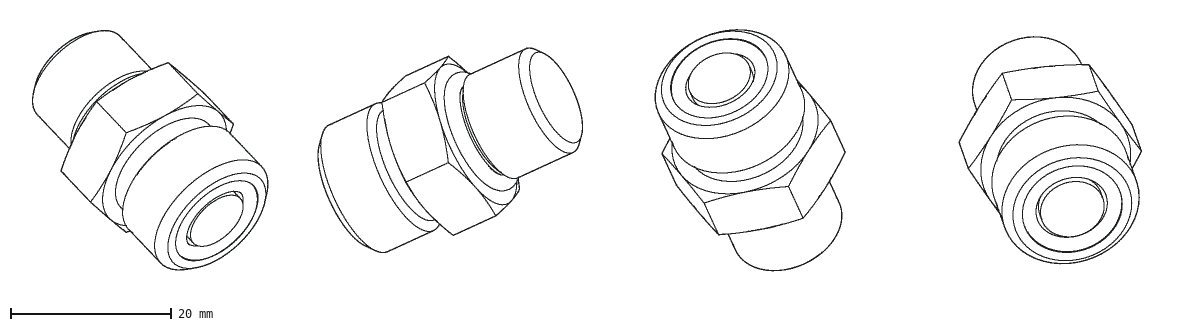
import cadquery as cq
import math

TOTAL_LENGTH = 30.95

LEFT_THREAD_DIAMETER = 14.25
LEFT_CORE_DIAMETER = 12.28
LEFT_THREAD_END = 9.22
LEFT_RUNOUT_LENGTH = 0.7

HEX_ACROSS_FLATS = 19.05
HEX_SIDES = 6
HEX_START = 11.9
HEX_LENGTH = 7.4
HEX_CHAMFER_ANGLE = 20.0

RIGHT_THREAD_DIAMETER = 17.45
RIGHT_CORE_DIAMETER = 15.1
RIGHT_RUNOUT_START = 21.78
RIGHT_RUNOUT_LENGTH = 0.68
HOUSING_LENGTH = 30.48

SHAFT_RING_OUTER_DIAMETER = 15.93
SHAFT_RING_SECTION_DIAMETER = 1.98
SHAFT_RING_CENTRE_X = 10.95

FACE_RING_OUTER_DIAMETER = 12.7
FACE_RING_SECTION_DIAMETER = 1.8
FACE_GROOVE_INNER_DIAMETER = 8.1

left_radius = LEFT_THREAD_DIAMETER / 2
left_core_radius = LEFT_CORE_DIAMETER / 2
left_chamfer = left_radius - left_core_radius
right_radius = RIGHT_THREAD_DIAMETER / 2
right_core_radius = RIGHT_CORE_DIAMETER / 2
right_chamfer = right_radius - right_core_radius
hex_end = HEX_START + HEX_LENGTH
hex_flat_radius = HEX_ACROSS_FLATS / 2
hex_corner_radius = hex_flat_radius / math.cos(math.pi / HEX_SIDES)
face_ring_centre_x = TOTAL_LENGTH - FACE_RING_SECTION_DIAMETER / 2
face_groove_floor = TOTAL_LENGTH - FACE_RING_SECTION_DIAMETER


def revolve_about_x(outline):
    """Solid of revolution about X from a closed outline of (x, radius) in the XY plane."""
    return outline.revolve(360, (0, 0, 0), (1, 0, 0))


def make_shaft():
    """Turned body from end to end, without the hexagon."""
    outline = (
        cq.Workplane("XY")
        .moveTo(0, 0)
        .lineTo(0, left_core_radius)
        .lineTo(left_chamfer, left_radius)
        .lineTo(LEFT_THREAD_END, left_radius)
        .lineTo(LEFT_THREAD_END + LEFT_RUNOUT_LENGTH, left_core_radius)
        .lineTo(HEX_START, left_core_radius)
        .lineTo(HEX_START, right_core_radius)
        .lineTo(RIGHT_RUNOUT_START, right_core_radius)
        .lineTo(RIGHT_RUNOUT_START + RIGHT_RUNOUT_LENGTH, right_radius)
        .lineTo(HOUSING_LENGTH - right_chamfer, right_radius)
        .lineTo(HOUSING_LENGTH, right_core_radius)
        .lineTo(HOUSING_LENGTH, 0)
        .close()
    )
    return revolve_about_x(outline)


def make_hexagon():
    """Hexagon with flats facing +Z and -Z, its corners turned off by a cone at both ends."""
    prism = (
        cq.Workplane("YZ", origin=(HEX_START, 0, 0))
        .polygon(HEX_SIDES, 2 * hex_corner_radius)
        .extrude(HEX_LENGTH)
    )
    corner_depth = (hex_corner_radius - hex_flat_radius) * math.tan(math.radians(HEX_CHAMFER_ANGLE))
    outline = (
        cq.Workplane("XY")
        .moveTo(HEX_START, 0)
        .lineTo(HEX_START, hex_flat_radius)
        .lineTo(HEX_START + corner_depth, hex_corner_radius)
        .lineTo(hex_end - corner_depth, hex_corner_radius)
        .lineTo(hex_end, hex_flat_radius)
        .lineTo(hex_end, 0)
        .close()
    )
    return prism.intersect(revolve_about_x(outline))


def make_face_groove():
    """Square-sided ring groove in the right end face, as wide outside as its O-ring."""
    return (
        cq.Workplane("YZ", origin=(face_groove_floor, 0, 0))
        .circle(FACE_RING_OUTER_DIAMETER / 2)
        .circle(FACE_GROOVE_INNER_DIAMETER / 2)
        .extrude(HOUSING_LENGTH - face_groove_floor)
    )


def make_ring(outer_diameter, section_diameter, centre_x):
    """O-ring of round section around the X axis."""
    section_radius = section_diameter / 2
    centre_radius = outer_diameter / 2 - section_radius
    section = cq.Workplane("XY").center(centre_x, centre_radius).circle(section_radius)
    axis_start = (-centre_x, -centre_radius, 0)
    axis_end = (0, -centre_radius, 0)
    return section.revolve(360, axis_start, axis_end)


shaft_ring = make_ring(SHAFT_RING_OUTER_DIAMETER, SHAFT_RING_SECTION_DIAMETER, SHAFT_RING_CENTRE_X)
face_ring = make_ring(FACE_RING_OUTER_DIAMETER, FACE_RING_SECTION_DIAMETER, face_ring_centre_x)

housing = make_shaft().union(make_hexagon()).cut(make_face_groove()).cut(shaft_ring)

result = cq.Compound.makeCompound([housing.val(), shaft_ring.val(), face_ring.val()])